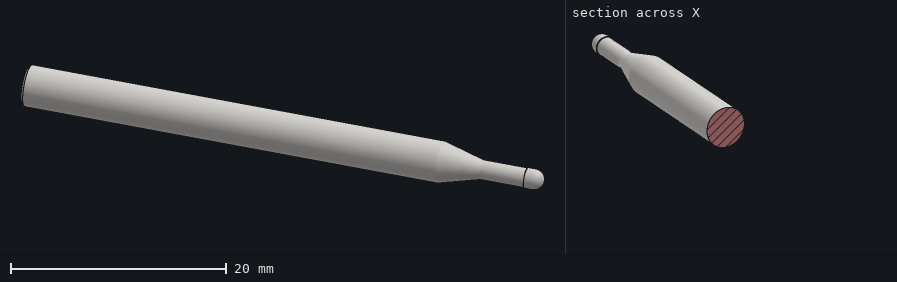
import cadquery as cq
import math

overall_length = 50.0
shank_diameter = 4.0
shank_chamfer = 0.25
ball_diameter = 2.0
neck_diameter = 1.9
neck_start = 44.0
cutter_length = 1.75
taper_half_angle = 15.0

shank_radius = shank_diameter / 2
ball_radius = ball_diameter / 2
neck_radius = neck_diameter / 2
taper_length = (shank_radius - neck_radius) / math.tan(math.radians(taper_half_angle))
shank_end = neck_start - taper_length
cutter_start = overall_length - cutter_length
ball_center = overall_length - ball_radius
ball_mid_offset = ball_radius * math.sqrt(0.5)

profile = (
    cq.Workplane("XY")
    .moveTo(0, 0)
    .lineTo(0, shank_radius - shank_chamfer)
    .lineTo(shank_chamfer, shank_radius)
    .lineTo(shank_end, shank_radius)
    .lineTo(neck_start, neck_radius)
    .lineTo(cutter_start, neck_radius)
    .lineTo(cutter_start, ball_radius)
    .lineTo(ball_center, ball_radius)
    .threePointArc((ball_center + ball_mid_offset, ball_mid_offset), (overall_length, 0))
    .close()
)

result = profile.revolve(360, (0, 0, 0), (1, 0, 0))